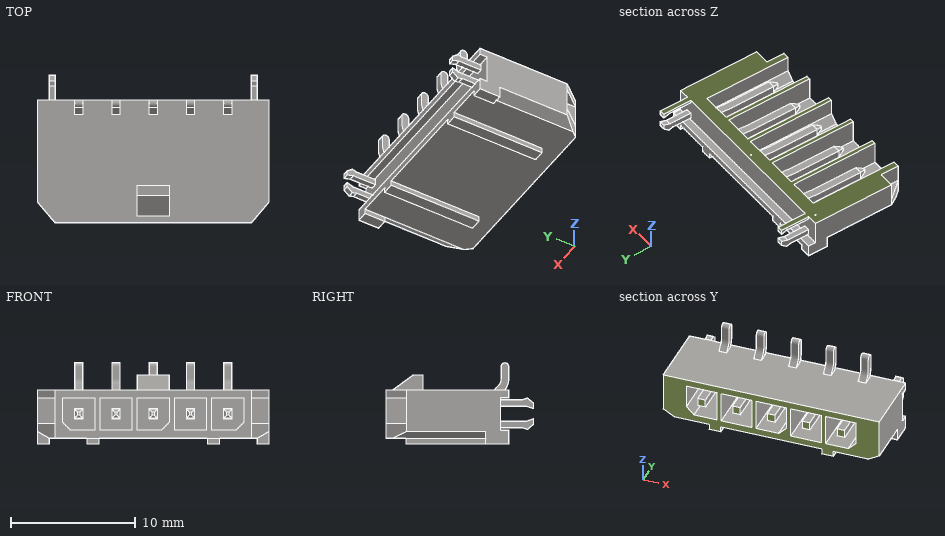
import cadquery as cq
import math


BODY_WIDTH = 18.64
BODY_DEPTH = 9.9
BODY_HEIGHT = 3.9
HALF_WIDTH = BODY_WIDTH / 2
CORNER_X = 1.42
CORNER_Y = 1.67
UNDER_BEVEL_X = 0.96
UNDER_BEVEL_Z = 0.55

CONTACT_COUNT = 5
PITCH = 3.0
CAVITY_SIZE = 2.6
CAVITY_DEPTH = 8.0
WALL = (BODY_HEIGHT - CAVITY_SIZE) / 2
CAVITY_TOP = BODY_HEIGHT - WALL
KEY_CHAMFER = 0.65
KEY_SIDES = {0: -1, 2: 1, 4: 1}

NOTCH_BOTTOM = 1.2
REAR_RECESS = 0.67
RECESS_FACE_Y = BODY_DEPTH - REAR_RECESS

FOOT_HEIGHT = 0.47
REAR_FOOT_FRONT_Y = 8.04
RAIL_WIDTH = 1.0
RAIL_X = 4.85
RAIL_FRONT_Y = 1.61

LATCH_WIDTH = CAVITY_SIZE
LATCH_HEIGHT = 1.2
LATCH_TOE_Y = 0.56
LATCH_CREST_Y = 2.2
LATCH_BACK_Y = 3.0

AXIS_Z = 1.98
CONTACT_WIDTH = 0.66
PIN_HEIGHT = 0.72
PIN_TIP_Y = 2.0
PIN_TAPER = 0.6
PIN_TIP_WIDTH = 0.18
PIN_TIP_HEIGHT = 0.24
BARB_HEIGHT = 0.84
BARB_START_Y = 7.0
BARB_TAPER = 0.4

TAIL_THICKNESS = 0.63
TAIL_HEIGHT = 2.18
TAIL_BEND_Z = BODY_HEIGHT + 0.88
TAIL_INNER_RADIUS = 0.79
TAIL_BEND_ANGLE = math.radians(45)
TAIL_SHANK = 0.9

CLIP_X = 8.125
CLIP_THICKNESS = 0.5
CLIP_END_Y = 11.9
CLIP_PEAK_Y = 11.4
CLIP_OUTER_KNEE_Y = 11.0
CLIP_INNER_KNEE_Y = 11.3
CLIP_INNER = 0.6
CLIP_OUTER = 1.14
CLIP_PEAK = 1.27
CLIP_END_OUTER = 0.85
CLIP_END_INNER = 0.4


def box(x_min, x_max, y_min, y_max, z_min, z_max):
    size = (x_max - x_min, y_max - y_min, z_max - z_min)
    return cq.Workplane("XY").box(*size, centered=False).translate((x_min, y_min, z_min))


def side_plate(profile, x_center, width):
    """Extrude a closed (Y, Z) polygon along X, centred on x_center."""
    plate = cq.Workplane("YZ").polyline(profile).close().extrude(width / 2, both=True)
    return plate.translate((x_center, 0, 0))


def contact_x(index):
    return (index - (CONTACT_COUNT - 1) / 2) * PITCH


def make_shell():
    shoulder_x = HALF_WIDTH - CORNER_X
    plan = [
        (-shoulder_x, 0),
        (shoulder_x, 0),
        (HALF_WIDTH, CORNER_Y),
        (HALF_WIDTH, BODY_DEPTH),
        (-HALF_WIDTH, BODY_DEPTH),
        (-HALF_WIDTH, CORNER_Y),
    ]
    return cq.Workplane("XY").polyline(plan).close().extrude(BODY_HEIGHT)


def make_under_bevel(side):
    """Cutter for the sloped lower edge that stops at the rear foot."""
    edge_x = side * HALF_WIDTH
    profile = [(edge_x, 0), (edge_x - side * UNDER_BEVEL_X, 0), (edge_x, UNDER_BEVEL_Z)]
    return cq.Workplane("XZ").polyline(profile).close().extrude(-REAR_FOOT_FRONT_Y)


def make_corner_notch(side):
    inner_x = side * (HALF_WIDTH - CORNER_X)
    outer_x = side * HALF_WIDTH
    x_min, x_max = sorted((inner_x, outer_x))
    return box(x_min, x_max, 0, CORNER_Y, NOTCH_BOTTOM, CAVITY_TOP)


def make_cavity(index):
    half = CAVITY_SIZE / 2
    x = contact_x(index)
    cavity = box(x - half, x + half, 0, CAVITY_DEPTH, WALL, CAVITY_TOP)
    if index in KEY_SIDES:
        corner = "<X" if KEY_SIDES[index] < 0 else ">X"
        cavity = cavity.faces("<Z").edges(corner).chamfer(KEY_CHAMFER)
    return cavity


def make_rear_foot(side):
    inner_x = side * (HALF_WIDTH - UNDER_BEVEL_X)
    x_min, x_max = sorted((inner_x, side * HALF_WIDTH))
    return box(x_min, x_max, REAR_FOOT_FRONT_Y, BODY_DEPTH, -FOOT_HEIGHT, WALL)


def make_rail(side):
    x = side * RAIL_X
    half = RAIL_WIDTH / 2
    return box(x - half, x + half, RAIL_FRONT_Y, BODY_DEPTH, -FOOT_HEIGHT, WALL)


def make_latch():
    crest_z = BODY_HEIGHT + LATCH_HEIGHT
    profile = [
        (LATCH_TOE_Y, BODY_HEIGHT),
        (LATCH_CREST_Y, crest_z),
        (LATCH_BACK_Y, crest_z),
        (LATCH_BACK_Y, BODY_HEIGHT),
    ]
    return side_plate(profile, 0, LATCH_WIDTH)


def make_pin(x):
    shaft_y = PIN_TIP_Y + PIN_TAPER
    tip = (
        cq.Workplane("XZ", origin=(x, PIN_TIP_Y, AXIS_Z))
        .rect(PIN_TIP_WIDTH, PIN_TIP_HEIGHT)
        .workplane(offset=-PIN_TAPER)
        .rect(CONTACT_WIDTH, PIN_HEIGHT)
        .loft(ruled=True)
    )
    pin_half = PIN_HEIGHT / 2
    barb_half = BARB_HEIGHT / 2
    barb_full_y = BARB_START_Y + BARB_TAPER
    shaft_profile = [
        (shaft_y, AXIS_Z - pin_half),
        (BARB_START_Y, AXIS_Z - pin_half),
        (barb_full_y, AXIS_Z - barb_half),
        (CAVITY_DEPTH, AXIS_Z - barb_half),
        (CAVITY_DEPTH, AXIS_Z + barb_half),
        (barb_full_y, AXIS_Z + barb_half),
        (BARB_START_Y, AXIS_Z + pin_half),
        (shaft_y, AXIS_Z + pin_half),
    ]
    return tip.union(side_plate(shaft_profile, x, CONTACT_WIDTH))


def make_tail(x):
    """Vertical solder tail with a full-round top, bent forward and down into the top face."""
    rear_y = BODY_DEPTH
    front_y = rear_y - TAIL_THICKNESS
    center_y = front_y - TAIL_INNER_RADIUS
    outer_radius = TAIL_INNER_RADIUS + TAIL_THICKNESS
    top_z = BODY_HEIGHT + TAIL_HEIGHT
    round_z = top_z - TAIL_THICKNESS / 2

    def bend_point(radius, angle):
        return (center_y + radius * math.cos(angle), TAIL_BEND_Z - radius * math.sin(angle))

    def shank_end(radius):
        y, z = bend_point(radius, TAIL_BEND_ANGLE)
        return (y - TAIL_SHANK * math.sin(TAIL_BEND_ANGLE), z - TAIL_SHANK * math.cos(TAIL_BEND_ANGLE))

    half_bend = TAIL_BEND_ANGLE / 2
    tail = (
        cq.Workplane("YZ")
        .moveTo(front_y, round_z)
        .lineTo(front_y, TAIL_BEND_Z)
        .threePointArc(
            bend_point(TAIL_INNER_RADIUS, half_bend),
            bend_point(TAIL_INNER_RADIUS, TAIL_BEND_ANGLE),
        )
        .lineTo(*shank_end(TAIL_INNER_RADIUS))
        .lineTo(*shank_end(outer_radius))
        .lineTo(*bend_point(outer_radius, TAIL_BEND_ANGLE))
        .threePointArc(bend_point(outer_radius, half_bend), (rear_y, TAIL_BEND_Z))
        .lineTo(rear_y, round_z)
        .threePointArc((rear_y - TAIL_THICKNESS / 2, top_z), (front_y, round_z))
        .close()
        .extrude(CONTACT_WIDTH / 2, both=True)
    )
    return tail.translate((x, 0, 0))


def make_clip_arm(x, direction):
    """One barbed arm; direction is +1 for the upper arm and -1 for the lower one."""
    outline = [
        (RECESS_FACE_Y, CLIP_INNER),
        (CLIP_INNER_KNEE_Y, CLIP_INNER),
        (CLIP_END_Y, CLIP_END_INNER),
        (CLIP_END_Y, CLIP_END_OUTER),
        (CLIP_PEAK_Y, CLIP_PEAK),
        (CLIP_OUTER_KNEE_Y, CLIP_OUTER),
        (RECESS_FACE_Y, CLIP_OUTER),
    ]
    profile = [(y, AXIS_Z + direction * offset) for y, offset in outline]
    return side_plate(profile, x, CLIP_THICKNESS)


result = make_shell().union(make_latch())
result = result.cut(box(-HALF_WIDTH, HALF_WIDTH, RECESS_FACE_Y, BODY_DEPTH, WALL, CAVITY_TOP))

for side in (-1, 1):
    result = result.cut(make_under_bevel(side))
    result = result.cut(make_corner_notch(side))
    result = result.union(make_rear_foot(side))
    result = result.union(make_rail(side))
    for direction in (-1, 1):
        result = result.union(make_clip_arm(side * CLIP_X, direction))

for index in range(CONTACT_COUNT):
    result = result.cut(make_cavity(index))
    result = result.union(make_pin(contact_x(index)))
    result = result.union(make_tail(contact_x(index)))